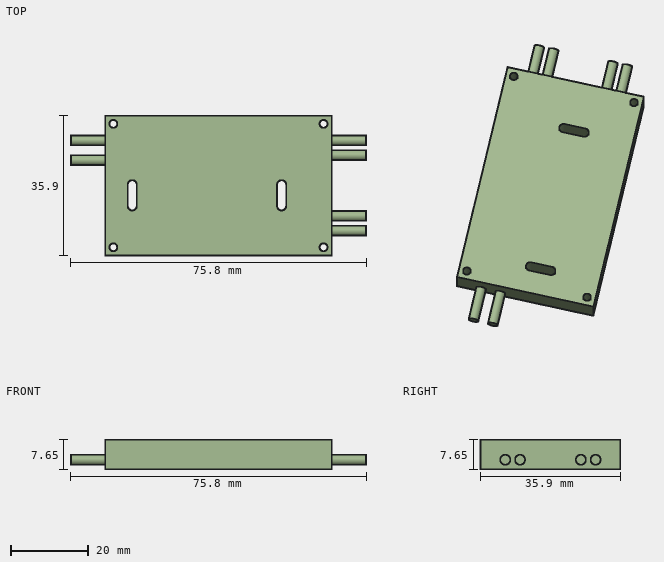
import cadquery as cq

overall_length = 75.75
cable_length = 8.8
body_length = overall_length - 2 * cable_length
body_width = 35.9
body_height = 7.65

hole_diameter = 2.0
hole_inset = 2.1

slot_length = 7.7
slot_width = 2.3
slot_y = -2.5
slot_x_positions = (-22.1, 16.2)

cable_diameter = 2.6
cable_z = 2.5
left_cable_y_positions = (11.6, 6.5)
right_cable_y_positions = (11.6, 7.8, -7.8, -11.6)


def make_body():
    """Rectangular housing standing on Z = 0."""
    return cq.Workplane("XY").box(body_length, body_width, body_height, centered=(True, True, False))


def cut_corner_holes(body):
    spacing_x = body_length - 2 * hole_inset
    spacing_y = body_width - 2 * hole_inset
    return (
        body.faces(">Z").workplane(origin=(0, 0, body_height))
        .rect(spacing_x, spacing_y, forConstruction=True)
        .vertices()
        .hole(hole_diameter)
    )


def cut_slots(body):
    slots = (
        cq.Workplane("XY")
        .pushPoints([(x, slot_y) for x in slot_x_positions])
        .slot2D(slot_length, slot_width, angle=90)
        .extrude(body_height)
    )
    return body.cut(slots)


def make_cables(side, y_positions):
    """Cables pointing outward from one end; side is -1 for -X and +1 for +X."""
    return (
        cq.Workplane("YZ", origin=(side * body_length / 2, 0, 0))
        .pushPoints([(y, cable_z) for y in y_positions])
        .circle(cable_diameter / 2)
        .extrude(side * cable_length)
    )


housing = cut_slots(cut_corner_holes(make_body()))
left_cables = make_cables(-1, left_cable_y_positions)
right_cables = make_cables(1, right_cable_y_positions)
result = housing.union(left_cables).union(right_cables)